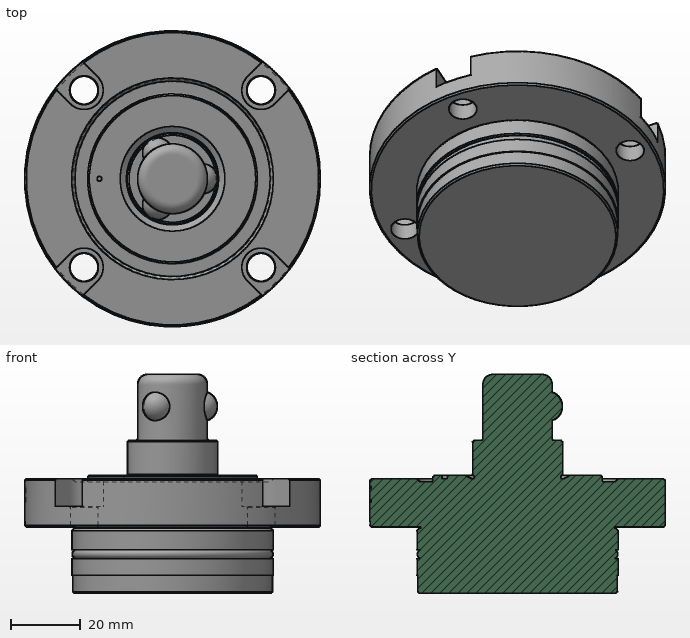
import cadquery as cq

flange_radius = 42.5
flange_bottom = 19.0
flange_top = 33.0
edge_chamfer = 0.5

spigot_radius = 29.0
spigot_tip_radius = 28.7
spigot_tip_top = 5.2
spigot_tip_chamfer = 0.5
spigot_top_chamfer = 0.8
undercut_radius = 28.0
undercut_height = 0.25
seal_bottom = 10.0
seal_top = 12.5
seal_edge_radius = 28.05
seal_bulge_radius = 28.9

groove_top_radius = 29.0
groove_floor_radius = 28.05
groove_depth = 0.85
disc_radius = 24.4
disc_top = 34.0
disc_chamfer = 0.5
disc_fillet = 0.4

recess_top_radius = 15.05
recess_floor_radius = 13.3
recess_depth = 1.0

collar_radius = 13.0
collar_top = 44.0
collar_chamfer = 0.5
collar_bottom = 34.2
collar_base_chamfer = 0.5
collar_stem_radius = collar_radius - collar_base_chamfer
collar_fillet = 0.3
pin_radius = 10.0
pin_top = 63.0
pin_rounding = 3.0
pin_fillet = 0.4

ball_count = 3
ball_radius = 4.3
ball_center_radius = 8.6
ball_height = 53.7

bolt_count = 4
bolt_first_angle = 45.0
bolt_circle_radius = 35.95
bolt_hole_radius = 4.0
bolt_hole_chamfer = 0.2
slot_radius = 5.5
slot_floor = 25.0

vent_x = -21.0
vent_radius = 0.7
vent_depth = 1.0
port_height = 28.5
port_radius = 2.2
plug_radius = 1.7
port_depth = 0.4


def revolved_body():
    """Spigot, flange, disc, collar and pin as one half profile turned about Z."""
    groove_floor = flange_top - groove_depth
    recess_floor = disc_top - recess_depth
    undercut_bottom = flange_bottom - undercut_height
    profile = (
        cq.Workplane("XZ")
        .moveTo(0, 0)
        .lineTo(spigot_tip_radius - spigot_tip_chamfer, 0)
        .lineTo(spigot_tip_radius, spigot_tip_chamfer)
        .lineTo(spigot_tip_radius, spigot_tip_top)
        .lineTo(spigot_radius, spigot_tip_top)
        .lineTo(spigot_radius, seal_bottom)
        .lineTo(seal_edge_radius, seal_bottom)
        .threePointArc(
            (seal_bulge_radius, (seal_bottom + seal_top) / 2),
            (seal_edge_radius, seal_top),
        )
        .lineTo(spigot_radius, seal_top)
        .lineTo(spigot_radius, undercut_bottom - spigot_top_chamfer)
        .lineTo(spigot_radius - spigot_top_chamfer, undercut_bottom)
        .lineTo(undercut_radius, undercut_bottom)
        .lineTo(undercut_radius, flange_bottom)
        .lineTo(flange_radius - edge_chamfer, flange_bottom)
        .lineTo(flange_radius, flange_bottom + edge_chamfer)
        .lineTo(flange_radius, flange_top - edge_chamfer)
        .lineTo(flange_radius - edge_chamfer, flange_top)
        .lineTo(groove_top_radius, flange_top)
        .lineTo(groove_floor_radius, groove_floor)
        .lineTo(disc_radius + disc_fillet, groove_floor)
        .radiusArc((disc_radius, groove_floor + disc_fillet), disc_fillet)
        .lineTo(disc_radius, disc_top - disc_chamfer)
        .lineTo(disc_radius - disc_chamfer, disc_top)
        .lineTo(recess_top_radius, disc_top)
        .lineTo(recess_floor_radius, recess_floor)
        .lineTo(collar_stem_radius + collar_fillet, recess_floor)
        .radiusArc((collar_stem_radius, recess_floor + collar_fillet), collar_fillet)
        .lineTo(collar_stem_radius, collar_bottom - collar_base_chamfer)
        .lineTo(collar_radius, collar_bottom)
        .lineTo(collar_radius, collar_top - collar_chamfer)
        .lineTo(collar_radius - collar_chamfer, collar_top)
        .lineTo(pin_radius + pin_fillet, collar_top)
        .radiusArc((pin_radius, collar_top + pin_fillet), pin_fillet)
        .lineTo(pin_radius, pin_top - pin_rounding)
        .radiusArc((pin_radius - pin_rounding, pin_top), -pin_rounding)
        .lineTo(0, pin_top)
        .close()
    )
    return profile.revolve(360, (0, 0, 0), (0, 1, 0))


def locking_balls():
    """Balls spaced evenly around the pin, the first one on the +X side."""
    return (
        cq.Workplane("XY", origin=(0, 0, ball_height))
        .polarArray(ball_center_radius, 0, 360, ball_count)
        .sphere(ball_radius)
    )


def bolt_cutter():
    """Countersunk through hole and outward-open slot for one bolt centred on the +X axis."""
    slot_depth = flange_top - slot_floor
    slot_length = flange_radius - bolt_circle_radius
    hole = (
        cq.Workplane("XY")
        .center(bolt_circle_radius, 0)
        .circle(bolt_hole_radius)
        .extrude(slot_floor)
    )
    countersink = cq.Workplane(
        cq.Solid.makeCone(
            bolt_hole_radius,
            bolt_hole_radius + bolt_hole_chamfer,
            bolt_hole_chamfer,
            pnt=cq.Vector(bolt_circle_radius, 0, slot_floor - bolt_hole_chamfer),
        )
    )
    slot_plane = cq.Workplane("XY", origin=(bolt_circle_radius, 0, slot_floor))
    slot_end = slot_plane.circle(slot_radius).extrude(slot_depth)
    slot_run = (
        slot_plane.center(slot_length / 2, 0)
        .rect(slot_length, 2 * slot_radius)
        .extrude(slot_depth)
    )
    return hole.union(countersink).union(slot_end).union(slot_run)


def vent_cutter():
    """Small blind hole in the top of the raised disc."""
    return (
        cq.Workplane("XY", origin=(vent_x, 0, disc_top - vent_depth))
        .circle(vent_radius)
        .extrude(vent_depth)
    )


def port_cutter():
    """Shallow ring groove around a flush plug on the -X side of the flange."""
    return (
        cq.Workplane("YZ", origin=(-flange_radius, 0, port_height))
        .circle(port_radius)
        .circle(plug_radius)
        .extrude(port_depth)
    )


body = revolved_body().union(locking_balls())
for index in range(bolt_count):
    angle = bolt_first_angle + index * 360 / bolt_count
    body = body.cut(bolt_cutter().rotate((0, 0, 0), (0, 0, 1), angle))
body = body.cut(vent_cutter()).cut(port_cutter())
result = cq.Workplane(body.solids().val())